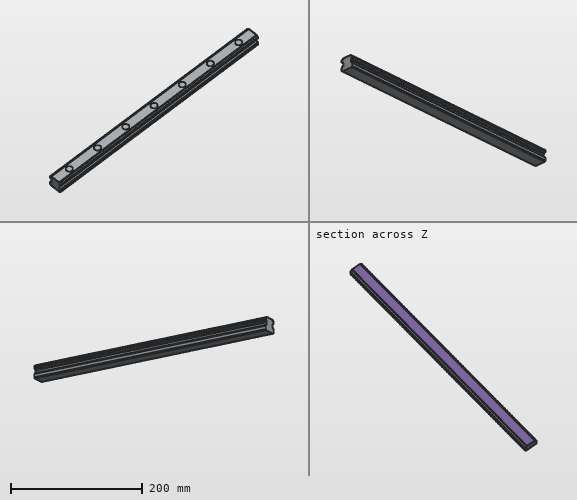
import cadquery as cq

RAIL_WIDTH = 23.0
RAIL_LENGTH = 420.0
RAIL_HEIGHT = 22.0
HALF_WIDTH = RAIL_WIDTH / 2

FOOT_CHAMFER = 1.7

LIP_TOP_Z = 19.4
LIP_BOTTOM_Z = 16.6
LIP_LAND = 0.6
LIP_EDGE_X = HALF_WIDTH - LIP_LAND

GROOVE_RADIUS = 1.9
GROOVE_INNER_X = LIP_EDGE_X - GROOVE_RADIUS
HEAD_CHAMFER = RAIL_HEIGHT - LIP_TOP_Z - GROOVE_RADIUS

NECK_HALF_WIDTH = 8.2
NECK_TOP_Z = 13.4
NECK_BOTTOM_Z = 9.75
LAND_WIDTH = 0.3
BEVEL_WIDTH = 0.2
BEVEL_HEIGHT = 1.2
LAND_OUTER_X = HALF_WIDTH - BEVEL_WIDTH
LAND_INNER_X = LAND_OUTER_X - LAND_WIDTH
LAND_Z = NECK_BOTTOM_Z - (LAND_INNER_X - NECK_HALF_WIDTH)
FOOT_SIDE_TOP_Z = LAND_Z - BEVEL_HEIGHT

SEAT_COUNT = 7
SEAT_PITCH = 60.0
SEAT_DIAMETER = 11.0
SEAT_DEPTH = 0.2

OVERCUT = 1.0
OUTSIDE_X = HALF_WIDTH + OVERCUT


def end_plane():
    """Sketch plane at the +Y end; extruding from it runs toward -Y."""
    return cq.Workplane("XZ", origin=(0, RAIL_LENGTH / 2, 0))


def block():
    """Plain bar with bevelled bottom edges."""
    bar = cq.Workplane("XY").box(RAIL_WIDTH, RAIL_LENGTH, RAIL_HEIGHT, centered=(True, True, False))
    return bar.edges("|Y and <Z").chamfer(FOOT_CHAMFER)


def upper_groove():
    """Cutter for the right-hand top corner: bevel, ball groove and lip land."""
    return (
        end_plane()
        .moveTo(GROOVE_INNER_X - HEAD_CHAMFER, RAIL_HEIGHT)
        .lineTo(GROOVE_INNER_X, RAIL_HEIGHT - HEAD_CHAMFER)
        .radiusArc((LIP_EDGE_X, LIP_TOP_Z), -GROOVE_RADIUS)
        .lineTo(OUTSIDE_X, LIP_TOP_Z)
        .lineTo(OUTSIDE_X, RAIL_HEIGHT)
        .close()
        .extrude(RAIL_LENGTH)
    )


def side_channel():
    """Cutter for the right-hand flank: lip land, ball groove, waist, slope, foot land and bevel."""
    return (
        end_plane()
        .moveTo(OUTSIDE_X, LIP_BOTTOM_Z)
        .lineTo(LIP_EDGE_X, LIP_BOTTOM_Z)
        .radiusArc((GROOVE_INNER_X, LIP_BOTTOM_Z - GROOVE_RADIUS), -GROOVE_RADIUS)
        .lineTo(NECK_HALF_WIDTH, NECK_TOP_Z)
        .lineTo(NECK_HALF_WIDTH, NECK_BOTTOM_Z)
        .lineTo(LAND_INNER_X, LAND_Z)
        .lineTo(LAND_OUTER_X, LAND_Z)
        .lineTo(HALF_WIDTH, FOOT_SIDE_TOP_Z)
        .lineTo(OUTSIDE_X, FOOT_SIDE_TOP_Z)
        .close()
        .extrude(RAIL_LENGTH)
    )


def screw_seats():
    """Row of shallow discs centred along the rail."""
    return (
        cq.Workplane("XY", origin=(0, 0, RAIL_HEIGHT - SEAT_DEPTH))
        .rarray(1, SEAT_PITCH, 1, SEAT_COUNT)
        .circle(SEAT_DIAMETER / 2)
        .extrude(SEAT_DEPTH)
    )


rail = block()
for cutter in (upper_groove(), side_channel()):
    rail = rail.cut(cutter).cut(cutter.mirror("YZ"))

result = rail.cut(screw_seats())